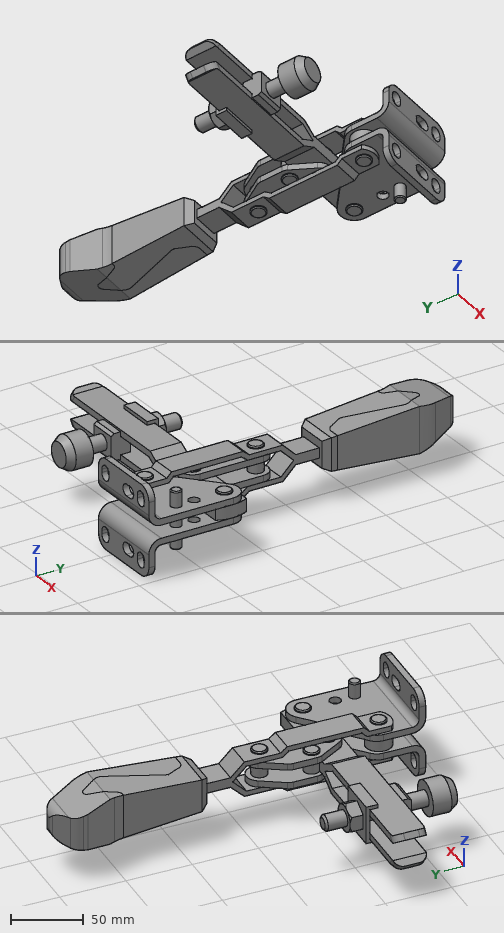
import cadquery as cq
import math


SHEET = 5.0
LEVER_SHEET = 4.0
BASE_OUTER = 2 * SHEET
LEVER_INNER = BASE_OUTER
LEVER_OUTER = LEVER_INNER + LEVER_SHEET

ARM_AXIS_Y = 68.5
LEVER_X = 141.0
ARM_PIVOT = (182.0, ARM_AXIS_Y)
LEVER_PIVOT = (LEVER_X, 30.0)
LINK_TOP_PIVOT = (LEVER_X, 120.0)
LINK_LOW_PIVOT = (LEVER_X, ARM_AXIS_Y)
LINK_STOP = (130.5, 85.5)

RIVET_RADIUS = 6.0
RIVET_CHAMFER = 0.8
HEAD_HEIGHT = 1.7

BASE_RIGHT = 194.0
BASE_WIDTH = 65.0
BASE_LEFT = BASE_RIGHT - BASE_WIDTH
BASE_HALF_DEPTH = 70.0 / 2
BEND_INNER_RADIUS = SHEET
BEND_OUTER_RADIUS = BEND_INNER_RADIUS + SHEET
FLANGE_CORNER_RADIUS = 9.8
EAR_RADIUS = BASE_RIGHT - ARM_PIVOT[0]
SHOULDER_ANGLE = 41.8
SHOULDER_RADIUS = 11.2
SPACER_RADIUS = 9.8
STOP_PIN_RADIUS = 4.2
STOP_PIN_Y = 29.5
STOP_PIN_HALF_LENGTH = 22.5
STOP_PIN_CHAMFER = 0.8
SPARE_HOLE_Y = 44.0
SLOT_WIDTH = 9.0
OUTER_SLOT_LENGTH = 11.5
OUTER_SLOT_XS = (138.0, 183.5)
OUTER_SLOT_Z = 23.5
MIDDLE_SLOT_LENGTH = 13.5
MIDDLE_SLOT_X = 167.5
MIDDLE_SLOT_Z = 22.5

ARM_HEIGHT = 25.3
ARM_BOTTOM = ARM_AXIS_Y - ARM_HEIGHT / 2
ARM_TOP = ARM_AXIS_Y + ARM_HEIGHT / 2
FORK_OUTER = 12.0
FORK_INNER = FORK_OUTER - SHEET
FORK_END_X = 106.8
FORK_ROOT_X = 118.5
TIP_ANGLE = 36.0
TIP_RISE = 2.5
TIP_CORNER_RADIUS = 7.0
ARM_END_BULGE = 3.0

LEVER_WIDTH = 20.0
LEVER_LEFT = LEVER_X - LEVER_WIDTH / 2
LEVER_RIGHT = LEVER_X + LEVER_WIDTH / 2
LEVER_BOTTOM = 20.5
LEVER_END_BULGE = 4.2
LEVER_BULGE_OUTER = LEVER_OUTER + LEVER_SHEET
LOW_STEP = (41.5, 45.5)
HIGH_STEP = (103.5, 108.5)
STEM_STEP = (135.7, 146.0)

LINK_RADIUS = 9.8
LINK_LEFT = 121.0
LINK_ELBOW_RISE = 11.2
LINK_ELBOW_RADIUS = 8.0

SCREW_X = 58.0
SCREW_RADIUS = 12.0 / 2
SCREW_TOP = 110.2
SCREW_CHAMFER = 1.7
NUT_ACROSS_FLATS = 20.0
NUT_HEIGHT = 9.8
NUT_CHAMFER = 1.5
CAP_SIDE = 29.8
CAP_THICKNESS = 2.8
CAP_HEIGHT = 9.0
BLOCK_WIDTH = 22.2
BLOCK_HALF_DEPTH = 10.7
BLOCK_HEIGHT = 8.0
BLOCK_TONGUE_HEIGHT = 8.0
BLOCK_CHAMFER_HEIGHT = 2.5
BLOCK_CHAMFER_DEPTH = 1.7
FOOT_RADIUS = 13.2
FOOT_TIP_RADIUS = 9.5
FOOT_BOTTOM = 12.6
FOOT_SHOULDER = 18.5
FOOT_TOP = 32.5

GRIP_BOTTOM = 165.2
GRIP_TAPER_TOP = 170.8
GRIP_CREST = 242.0
GRIP_CROWN = 273.5
GRIP_TOP = 281.0
GRIP_HALF_BOTTOM = 10.5
GRIP_HALF_TAPER = 13.0
GRIP_HALF_CREST = 18.3
GRIP_HALF_CROWN = 12.0
GRIP_HALF_TOP = 5.0
SEAM_LEFT = 231.0
SEAM_RIGHT = 176.0

GRIP_BOUND_LEFT = 112.5
GRIP_BOUND_RIGHT = 168.5
GRIP_BOUND_DEPTH = 28.0


def z_prism(outline, half_length):
    """A closed XY outline extruded to both sides of Z = 0."""
    return outline.close().extrude(half_length, both=True)


def cylinder_z(center, radius, half_length):
    return (
        cq.Workplane("XY", origin=(*center, -half_length))
        .circle(radius)
        .extrude(2 * half_length)
    )


def rivet(center, half_length, radius=RIVET_RADIUS, chamfer=RIVET_CHAMFER):
    return cylinder_z(center, radius, half_length).faces("|Z").chamfer(chamfer)


def both_sides(body):
    return body.union(body.mirror("XY"))


def strip_outline(path, thickness):
    """The outline of a bent strip: the path and its mitred copy, offset to the right of travel."""
    directions = []
    for start, end in zip(path, path[1:]):
        length = math.dist(start, end)
        directions.append(((end[0] - start[0]) / length, (end[1] - start[1]) / length))
    inner = []
    for i, (x, y) in enumerate(path):
        before = directions[max(i - 1, 0)]
        after = directions[min(i, len(directions) - 1)]
        normal = (before[1] + after[1], -before[0] - after[0])
        scale = thickness / (1 + before[0] * after[0] + before[1] * after[1])
        inner.append((x + scale * normal[0], y + scale * normal[1]))
    return path + inner[::-1]


def base_plate_outline():
    """Side outline of the base plates: a foot with a rounded ear around the arm pivot."""
    slope = math.radians(SHOULDER_ANGLE)
    ear_x, ear_y = ARM_PIVOT
    tangent_x = ear_x - EAR_RADIUS * math.sin(slope)
    tangent_y = ear_y + EAR_RADIUS * math.cos(slope)
    shoulder_y = tangent_y - (tangent_x - BASE_LEFT) * math.tan(slope)
    middle = (math.pi / 2 + slope) / 2
    return (
        cq.Workplane("XY")
        .moveTo(BASE_LEFT, 0)
        .lineTo(BASE_RIGHT, 0)
        .lineTo(BASE_RIGHT, ear_y)
        .threePointArc(
            (ear_x + EAR_RADIUS * math.cos(middle), ear_y + EAR_RADIUS * math.sin(middle)),
            (tangent_x, tangent_y),
        )
        .lineTo(BASE_LEFT, shoulder_y)
    )


def flange_slots():
    """The three mounting slots of one flange."""
    def slot(x, z, length, turn):
        return (
            cq.Workplane("XZ", origin=(x, 0, z))
            .slot2D(length, SLOT_WIDTH, turn)
            .extrude(-SHEET)
        )

    slots = slot(MIDDLE_SLOT_X, MIDDLE_SLOT_Z, MIDDLE_SLOT_LENGTH, 0)
    for x in OUTER_SLOT_XS:
        slots = slots.union(slot(x, OUTER_SLOT_Z, OUTER_SLOT_LENGTH, 90))
    return slots


def make_base():
    """Two angled plates joined by the spacer, the two pivot rivets and the stop pin."""
    plate_top = ARM_PIVOT[1] + EAR_RADIUS
    angle = (
        cq.Workplane("YZ", origin=(BASE_LEFT, 0, 0))
        .moveTo(plate_top, SHEET)
        .lineTo(BEND_OUTER_RADIUS, SHEET)
        .radiusArc((0, SHEET + BEND_OUTER_RADIUS), BEND_OUTER_RADIUS)
        .lineTo(0, BASE_HALF_DEPTH)
        .lineTo(SHEET, BASE_HALF_DEPTH)
        .lineTo(SHEET, BASE_OUTER + BEND_INNER_RADIUS)
        .radiusArc((BEND_OUTER_RADIUS, BASE_OUTER), -BEND_INNER_RADIUS)
        .lineTo(plate_top, BASE_OUTER)
        .close()
        .extrude(BASE_WIDTH)
    )
    angle = angle.faces(">Z").edges("|Y").fillet(FLANGE_CORNER_RADIUS)
    outline = z_prism(base_plate_outline(), BASE_HALF_DEPTH)
    outline = outline.edges("|Z and <X").edges(">Y").fillet(SHOULDER_RADIUS)
    plates = both_sides(angle.intersect(outline).cut(flange_slots()))

    stop_pin_center = (ARM_PIVOT[0], STOP_PIN_Y)
    spare_hole = cylinder_z((ARM_PIVOT[0], SPARE_HOLE_Y), STOP_PIN_RADIUS, BASE_OUTER)
    return (
        plates.cut(spare_hole)
        .union(rivet(stop_pin_center, STOP_PIN_HALF_LENGTH, STOP_PIN_RADIUS, STOP_PIN_CHAMFER))
        .union(rivet(ARM_PIVOT, BASE_OUTER + HEAD_HEIGHT))
        .union(rivet(LEVER_PIVOT, LEVER_OUTER + HEAD_HEIGHT))
        .union(cylinder_z(LEVER_PIVOT, SPACER_RADIUS, SHEET))
    )


def tip_corner_waste(tip, flare):
    """Material to cut from a flared tip, square to its slope, to round its two corners."""
    half_height = ARM_HEIGHT / 2
    slope_plane = cq.Plane(
        origin=(tip[0], ARM_AXIS_Y, tip[1]),
        xDir=(math.cos(flare), 0, -math.sin(flare)),
        normal=(math.sin(flare), 0, math.cos(flare)),
    )
    corner = (
        cq.Workplane(slope_plane)
        .moveTo(0, half_height)
        .lineTo(TIP_CORNER_RADIUS, half_height)
        .radiusArc((0, half_height - TIP_CORNER_RADIUS), -TIP_CORNER_RADIUS)
        .close()
        .extrude(2 * SHEET, both=True)
    )
    return corner.union(corner.mirror("XZ", (0, ARM_AXIS_Y, 0)))


def make_arm():
    """Two sheets joined at the pivot end, forked around the screw and flared at the tip."""
    flare = math.radians(TIP_ANGLE)
    tip_x = SHEET * math.sin(flare)
    path = [
        (tip_x, FORK_OUTER + TIP_RISE),
        (tip_x + TIP_RISE / math.tan(flare), FORK_OUTER),
        (FORK_END_X, FORK_OUTER),
        (FORK_ROOT_X, SHEET),
        (BASE_RIGHT, SHEET),
    ]
    sheet = (
        cq.Workplane("XZ", origin=(0, ARM_BOTTOM, 0))
        .polyline(strip_outline(path, SHEET))
        .close()
        .extrude(-ARM_HEIGHT)
    )
    outline = (
        cq.Workplane("XY")
        .moveTo(0, ARM_BOTTOM)
        .lineTo(BASE_RIGHT - ARM_END_BULGE, ARM_BOTTOM)
        .threePointArc((BASE_RIGHT, ARM_AXIS_Y), (BASE_RIGHT - ARM_END_BULGE, ARM_TOP))
        .lineTo(0, ARM_TOP)
    )
    sheet = sheet.intersect(z_prism(outline, FORK_OUTER + SHEET))
    arm = both_sides(sheet.cut(tip_corner_waste(path[0], flare)))
    for center in (ARM_PIVOT, LINK_LOW_PIVOT, LINK_STOP):
        arm = arm.cut(cylinder_z(center, RIVET_RADIUS, SHEET))
    return arm


def make_link():
    """Two boomerang-shaped sheets held together by three rivets."""
    middle_y = (LINK_TOP_PIVOT[1] + LINK_LOW_PIVOT[1]) / 2
    elbow = (LINK_LEFT, middle_y + LINK_ELBOW_RISE)

    offset_x = elbow[0] - LEVER_X
    offset_y = elbow[1] - LINK_TOP_PIVOT[1]
    distance = math.hypot(offset_x, offset_y)
    tangent_angle = math.atan2(offset_y, offset_x) - math.acos(LINK_RADIUS / distance)
    tangent_x = LEVER_X + LINK_RADIUS * math.cos(tangent_angle)
    tangent_rise = LINK_TOP_PIVOT[1] + LINK_RADIUS * math.sin(tangent_angle) - middle_y
    end_rise = LINK_TOP_PIVOT[1] - middle_y

    outline = (
        cq.Workplane("XY", origin=(0, middle_y, 0))
        .moveTo(LINK_LEFT, -LINK_ELBOW_RISE)
        .lineTo(LINK_LEFT, LINK_ELBOW_RISE)
        .lineTo(tangent_x, tangent_rise)
        .threePointArc((LEVER_X, end_rise + LINK_RADIUS), (LEVER_X + LINK_RADIUS, end_rise))
        .lineTo(LEVER_X + LINK_RADIUS, -end_rise)
        .threePointArc((LEVER_X, -end_rise - LINK_RADIUS), (tangent_x, -tangent_rise))
    )
    sheet = outline.close().extrude(SHEET).edges("|Z and <X").fillet(LINK_ELBOW_RADIUS)
    sheets = both_sides(sheet.translate((0, 0, SHEET)))
    return (
        sheets.union(rivet(LINK_TOP_PIVOT, LEVER_OUTER + HEAD_HEIGHT))
        .union(rivet(LINK_STOP, BASE_OUTER + HEAD_HEIGHT))
        .union(rivet(LINK_LOW_PIVOT, BASE_OUTER + HEAD_HEIGHT))
    )


def make_lever():
    """Two bulged sheets that straddle base and links and close to a flat stem."""
    path = [
        (LEVER_BOTTOM, LEVER_OUTER),
        (LOW_STEP[0], LEVER_OUTER),
        (LOW_STEP[1], LEVER_BULGE_OUTER),
        (HIGH_STEP[0], LEVER_BULGE_OUTER),
        (HIGH_STEP[1], LEVER_OUTER),
        (STEM_STEP[0], LEVER_OUTER),
        (STEM_STEP[1], LEVER_SHEET),
        (GRIP_BOTTOM, LEVER_SHEET),
    ]
    sheet = (
        cq.Workplane("YZ", origin=(LEVER_LEFT, 0, 0))
        .polyline(strip_outline(path, LEVER_SHEET))
        .close()
        .extrude(LEVER_WIDTH)
    )
    outline = (
        cq.Workplane("XY")
        .moveTo(LEVER_LEFT, GRIP_BOTTOM)
        .lineTo(LEVER_LEFT, LEVER_BOTTOM + LEVER_END_BULGE)
        .threePointArc((LEVER_X, LEVER_BOTTOM), (LEVER_RIGHT, LEVER_BOTTOM + LEVER_END_BULGE))
        .lineTo(LEVER_RIGHT, GRIP_BOTTOM)
    )
    lever = both_sides(sheet.intersect(z_prism(outline, LEVER_BULGE_OUTER)))
    for center in (LEVER_PIVOT, LINK_TOP_PIVOT):
        lever = lever.cut(cylinder_z(center, RIVET_RADIUS, LEVER_OUTER))
    return lever


def screw_section(bottom):
    """A workplane on the screw axis, facing down, at the given height."""
    return cq.Workplane("XZ", origin=(SCREW_X, bottom, 0))


def make_nut(bottom):
    """Hexagon nut with corners toward +Z and -Z and a rounded-off top."""
    across_corners = NUT_ACROSS_FLATS / math.cos(math.pi / 6)
    axis_end = (SCREW_X, bottom + NUT_HEIGHT, 0)
    hexagon = screw_section(bottom).polygon(6, across_corners).extrude(-NUT_HEIGHT)
    hexagon = hexagon.rotate((SCREW_X, bottom, 0), axis_end, 90)
    rounding = screw_section(bottom).circle(across_corners / 2).extrude(-NUT_HEIGHT)
    return hexagon.intersect(rounding.faces(">Y").chamfer(NUT_CHAMFER))


def make_cap():
    """Square cap over the top edges of the fork, with a skirt on each side."""
    cap_top = ARM_TOP + CAP_THICKNESS
    cap = screw_section(cap_top).rect(CAP_SIDE, CAP_SIDE).extrude(CAP_HEIGHT)
    channel = screw_section(ARM_TOP).rect(CAP_SIDE, 2 * FORK_OUTER).extrude(CAP_HEIGHT)
    return cap.cut(channel)


def make_block():
    """Block under the fork with a tongue between the two sheets."""
    block = screw_section(ARM_BOTTOM).rect(BLOCK_WIDTH, 2 * BLOCK_HALF_DEPTH).extrude(BLOCK_HEIGHT)
    block = block.faces("<Y").edges("|X").chamfer(BLOCK_CHAMFER_HEIGHT, BLOCK_CHAMFER_DEPTH)
    tongue = screw_section(ARM_BOTTOM).rect(BLOCK_WIDTH, 2 * FORK_INNER).extrude(-BLOCK_TONGUE_HEIGHT)
    return block.union(tongue)


def make_screw():
    """Clamping screw with its foot, nut, cap and block."""
    screw = (
        cq.Workplane("XY", origin=(SCREW_X, 0, 0))
        .moveTo(0, FOOT_BOTTOM)
        .lineTo(FOOT_TIP_RADIUS, FOOT_BOTTOM)
        .lineTo(FOOT_RADIUS, FOOT_SHOULDER)
        .lineTo(FOOT_RADIUS, FOOT_TOP)
        .lineTo(SCREW_RADIUS, FOOT_TOP)
        .lineTo(SCREW_RADIUS, SCREW_TOP - SCREW_CHAMFER)
        .lineTo(SCREW_RADIUS - SCREW_CHAMFER, SCREW_TOP)
        .lineTo(0, SCREW_TOP)
        .close()
        .revolve(360, (0, 0, 0), (0, 1, 0))
    )
    return screw.union(make_block()).union(make_cap()).union(make_nut(ARM_TOP + CAP_THICKNESS))


def make_whole_grip():
    """The grip: a curved side outline crossed with a depth outline that is widest at the crest."""
    side = (
        cq.Workplane("XY")
        .moveTo(128.5, GRIP_BOTTOM)
        .lineTo(154.3, GRIP_BOTTOM)
        .lineTo(157.6, GRIP_TAPER_TOP)
        .lineTo(158.5, GRIP_CREST)
        .threePointArc((157.5, 249.8), (154.3, 257.5))
        .lineTo(145.8, 275.0)
        .threePointArc((140.2, 280.5), (131.8, 280.0))
        .lineTo(118.0, 272.5)
        .threePointArc((115.2, 269.5), (114.0, 264.7))
        .lineTo(114.5, 261.0)
        .lineTo(121.0, 238.3)
        .threePointArc((122.0, 234.5), (122.2, SEAM_LEFT))
        .lineTo(124.0, GRIP_TAPER_TOP)
    )
    depth = (
        cq.Workplane("YZ", origin=(GRIP_BOUND_LEFT, 0, 0))
        .moveTo(GRIP_BOTTOM, 0)
        .lineTo(GRIP_BOTTOM, GRIP_HALF_BOTTOM)
        .lineTo(GRIP_TAPER_TOP, GRIP_HALF_TAPER)
        .lineTo(GRIP_CREST, GRIP_HALF_CREST)
        .lineTo(GRIP_CROWN, GRIP_HALF_CROWN)
        .threePointArc((278.8, 9.5), (GRIP_TOP, GRIP_HALF_TOP))
        .lineTo(GRIP_TOP, 0)
        .close()
        .extrude(GRIP_BOUND_RIGHT - GRIP_BOUND_LEFT)
    )
    return z_prism(side, GRIP_BOUND_DEPTH).intersect(both_sides(depth))


def grip_seam_prism():
    """Everything below the S-shaped seam between the two grip parts."""
    outline = (
        cq.Workplane("XY")
        .moveTo(GRIP_BOUND_LEFT, GRIP_BOTTOM)
        .lineTo(GRIP_BOUND_LEFT, SEAM_LEFT)
        .lineTo(123.5, SEAM_LEFT)
        .threePointArc((126.0, 231.5), (127.3, 233.2))
        .lineTo(135.0, 251.2)
        .threePointArc((138.3, 254.0), (141.3, 252.3))
        .lineTo(148.6, 240.3)
        .threePointArc((149.8, 237.5), (149.5, 233.8))
        .lineTo(138.0, 192.0)
        .lineTo(138.0, 189.7)
        .lineTo(144.0, 179.0)
        .threePointArc((145.8, 177.0), (149.0, SEAM_RIGHT))
        .lineTo(GRIP_BOUND_RIGHT, SEAM_RIGHT)
        .lineTo(GRIP_BOUND_RIGHT, GRIP_BOTTOM)
    )
    return z_prism(outline, GRIP_BOUND_DEPTH)


base = make_base()
arm = make_arm()
link = make_link()
lever = make_lever()
screw = make_screw()
whole_grip = make_whole_grip()
grip_core = whole_grip.intersect(grip_seam_prism())
grip_shell = whole_grip.cut(grip_seam_prism())

result = cq.Compound.makeCompound([
    base.solids().val(),
    arm.solids().val(),
    link.solids().val(),
    lever.solids().val(),
    screw.solids().val(),
    grip_core.solids().val(),
    grip_shell.solids().val(),
])